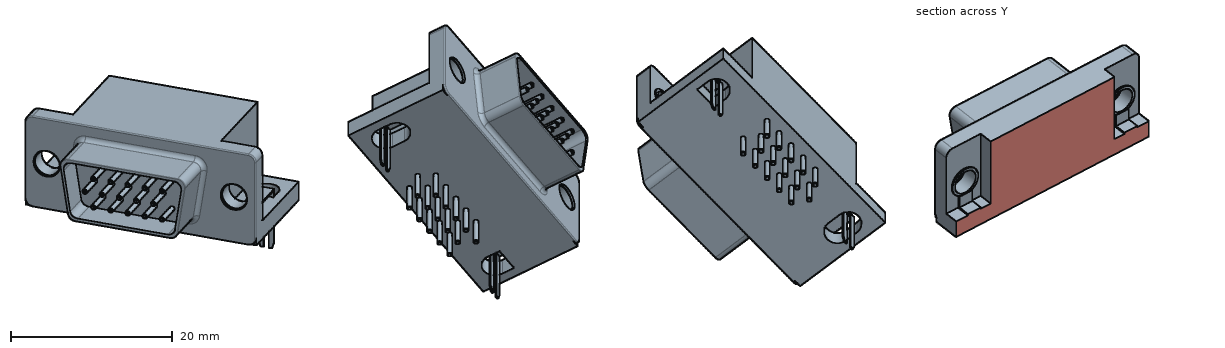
import cadquery as cq
import math

TOTAL_WIDTH = 30.8
TOTAL_DEPTH = 19.99
TOTAL_HEIGHT = 17.9
HOUSING_HEIGHT = 12.5
MID_HEIGHT = HOUSING_HEIGHT / 2

PLATE_THICKNESS = 0.3
PLATE_EDGE_ROUND = 0.15
FLANGE_BACK = 2.3
CORNER_RADIUS = 1.0
MOUNT_OFFSET = 12.5
MOUNT_HOLE_DIAMETER = 3.3
PLATE_HOLE_DIAMETER = 3.5

BODY_WIDTH = 19.8
LEDGE_HEIGHT = 2.55
SHELL_LENGTH = 5.79
BODY_BACK = TOTAL_DEPTH - SHELL_LENGTH

SHELL_HEIGHT = 8.37
SHELL_WIDTH = 16.62
SHELL_RADIUS = 1.0
SHELL_SLANT = 8.8
SHELL_WALL = 0.46
SHELL_FLARE = 0.6
SHELL_MOUTH_ROUND = 0.05
CAVITY_FLOOR = -2.15

PIN_DIAMETER = 0.64
PIN_PITCH = 2.29
ROW_PITCH = 1.94
PINS_PER_ROW = 5
CONTACT_ROWS = (-1, 0, 1)
ROW_STAGGER = PIN_PITCH / 4
PIN_CHAMFER = 0.15
PIN_TIP = -5.67
TAIL_LENGTH = 3.85
TAIL_CHAMFER = 0.1
MIDDLE_TAIL_Y = BODY_BACK - 3.61

SLOT_WIDTH = 3.3
SLOT_ARC_Y = BODY_BACK - 3.58
SLOT_STRAIGHT = 1.75

WASHER_DIAMETER = 4.1
SHEET_THICKNESS = 0.2
STRAP_WIDTH = 2.05
STRAP_BACK = BODY_BACK - 3.43
UPRIGHT_THICKNESS = 0.3
PRONG_GAP = 0.7
PRONG_GAP_TOP = 2.2
PRONG_TAPER_LENGTH = 0.8
PRONG_TAPER_WIDTH = 0.26
PRONG_BOTTOM = HOUSING_HEIGHT - TOTAL_HEIGHT

SIDES = (-1, 1)


def box(x_range, y_range, z_range):
    """Axis-aligned box given by its limits on each axis."""
    size = [high - low for low, high in (x_range, y_range, z_range)]
    corner = (x_range[0], y_range[0], z_range[0])
    return cq.Workplane("XY").box(*size, centered=False).translate(corner)


def cylinder_along_y(diameter, x, z, y_start, y_end):
    """Cylinder parallel to Y, centred at the given X and Z."""
    plane = cq.Workplane("XZ", origin=(x, y_start, z))
    return plane.circle(diameter / 2).extrude(y_start - y_end)


def make_housing():
    """Plastic body with a low ledge on each side and a full-width flange."""
    half_width = TOTAL_WIDTH / 2
    half_body = BODY_WIDTH / 2
    body = box((-half_body, half_body), (PLATE_THICKNESS, BODY_BACK), (0, HOUSING_HEIGHT))
    ledges = box((-half_width, half_width), (PLATE_THICKNESS, BODY_BACK), (0, LEDGE_HEIGHT))
    flange = box((-half_width, half_width), (PLATE_THICKNESS, FLANGE_BACK), (0, HOUSING_HEIGHT))
    flange = flange.edges("|Y and >Z").fillet(CORNER_RADIUS)
    return body.union(ledges).union(flange)


def make_face_plate():
    """Metal plate with four rounded corners and a softened front rim."""
    half_width = TOTAL_WIDTH / 2
    plate = box((-half_width, half_width), (0, PLATE_THICKNESS), (0, HOUSING_HEIGHT))
    return plate.edges("|Y").fillet(CORNER_RADIUS).faces("<Y").edges().fillet(PLATE_EDGE_ROUND)


def d_prism(inset, y_start, y_end):
    """Prism with the rounded trapezoid section of the shell, shrunk by the inset."""
    slant = math.radians(SHELL_SLANT)
    half_height = SHELL_HEIGHT / 2 - inset
    arc_centre_x = SHELL_WIDTH / 2 - SHELL_RADIUS - inset
    half_top = arc_centre_x + SHELL_RADIUS / math.tan(math.pi / 4 - slant / 2)
    half_bottom = half_top - 2 * half_height * math.tan(slant)
    outline = [
        (-half_top, half_height),
        (half_top, half_height),
        (half_bottom, -half_height),
        (-half_bottom, -half_height),
    ]
    plane = cq.Workplane("XZ", origin=(0, y_start, MID_HEIGHT))
    prism = plane.polyline(outline).close().extrude(y_start - y_end)
    return prism.edges("|Y").fillet(SHELL_RADIUS)


def add_shell(plate):
    """Join the shell to the plate with a flared root, then hollow it out."""
    shell = d_prism(0, PLATE_THICKNESS, -SHELL_LENGTH)
    shell = shell.faces("<Y").edges().fillet(SHELL_MOUTH_ROUND)
    plate = plate.union(shell)
    reach_x = SHELL_WIDTH / 2 + SHELL_FLARE
    reach_z = SHELL_HEIGHT / 2 + SHELL_FLARE
    shell_root = cq.selectors.BoxSelector(
        (-reach_x, -PLATE_EDGE_ROUND / 2, MID_HEIGHT - reach_z),
        (reach_x, PLATE_EDGE_ROUND / 2, MID_HEIGHT + reach_z),
    )
    plate = plate.edges(shell_root).fillet(SHELL_FLARE)
    return plate.cut(d_prism(SHELL_WALL, CAVITY_FLOOR, -SHELL_LENGTH))


def cut_mount_holes(part):
    """Screw holes through the flange, slightly wider in the metal plate."""
    for side in SIDES:
        x = side * MOUNT_OFFSET
        part = part.cut(cylinder_along_y(MOUNT_HOLE_DIAMETER, x, MID_HEIGHT, 0, FLANGE_BACK))
        part = part.cut(cylinder_along_y(PLATE_HOLE_DIAMETER, x, MID_HEIGHT, 0, PLATE_THICKNESS))
    return part


def cut_ledge_slots(part):
    """The left slot is round at both ends; the right one has a flat front end."""
    radius = SLOT_WIDTH / 2
    slot_front = SLOT_ARC_Y - SLOT_STRAIGHT
    for side in SIDES:
        x = side * MOUNT_OFFSET
        round_ends = [SLOT_ARC_Y]
        if side < 0:
            round_ends.append(slot_front)
        part = part.cut(box((x - radius, x + radius), (slot_front, SLOT_ARC_Y), (0, LEDGE_HEIGHT)))
        for y in round_ends:
            part = part.cut(cq.Workplane("XY").center(x, y).circle(radius).extrude(LEDGE_HEIGHT))
    return part


def make_contacts():
    """Pins inside the shell and the matching tails under the body."""
    contacts = []
    for row in CONTACT_ROWS:
        stagger = ROW_STAGGER if row else -ROW_STAGGER
        for column in range(PINS_PER_ROW):
            x = (column - (PINS_PER_ROW - 1) / 2) * PIN_PITCH + stagger
            z = MID_HEIGHT + row * ROW_PITCH
            y = MIDDLE_TAIL_Y + row * ROW_PITCH
            pin = cylinder_along_y(PIN_DIAMETER, x, z, FLANGE_BACK, PIN_TIP)
            pin = pin.faces("<Y").chamfer(PIN_CHAMFER)
            tail = cq.Workplane("XY", origin=(x, y, LEDGE_HEIGHT)).circle(PIN_DIAMETER / 2)
            tail = tail.extrude(-LEDGE_HEIGHT - TAIL_LENGTH).faces("<Z").chamfer(TAIL_CHAMFER)
            contacts += [pin, tail]
    return contacts


def make_board_lock(x):
    """Washer behind the flange, strap along the ledge and a forked leg through the slot."""
    half_strap = STRAP_WIDTH / 2
    x_range = (x - half_strap, x + half_strap)
    strap_top = LEDGE_HEIGHT + SHEET_THICKNESS
    washer_back = FLANGE_BACK + SHEET_THICKNESS
    upright_back = FLANGE_BACK + UPRIGHT_THICKNESS
    washer_reach = math.sqrt((WASHER_DIAMETER / 2) ** 2 - half_strap ** 2)

    washer = cylinder_along_y(WASHER_DIAMETER, x, MID_HEIGHT, FLANGE_BACK, washer_back)
    upright = box(x_range, (FLANGE_BACK, upright_back), (LEDGE_HEIGHT, MID_HEIGHT - washer_reach))
    strap = box(x_range, (FLANGE_BACK, STRAP_BACK), (LEDGE_HEIGHT, strap_top))
    leg = box(x_range, (STRAP_BACK - SHEET_THICKNESS, STRAP_BACK), (PRONG_BOTTOM, strap_top))
    gap = box(
        (x - PRONG_GAP / 2, x + PRONG_GAP / 2),
        (STRAP_BACK - SHEET_THICKNESS, STRAP_BACK),
        (PRONG_BOTTOM, PRONG_GAP_TOP),
    )
    for side in SIDES:
        edge = x + side * half_strap
        taper = [
            (edge, PRONG_BOTTOM),
            (edge - side * PRONG_TAPER_WIDTH, PRONG_BOTTOM),
            (edge, PRONG_BOTTOM + PRONG_TAPER_LENGTH),
        ]
        plane = cq.Workplane("XZ", origin=(0, STRAP_BACK, 0))
        leg = leg.cut(plane.polyline(taper).close().extrude(SHEET_THICKNESS))
    lock = washer.union(upright).union(strap).union(leg.cut(gap))
    return lock.cut(cylinder_along_y(MOUNT_HOLE_DIAMETER, x, MID_HEIGHT, FLANGE_BACK, upright_back))


part = make_housing().union(add_shell(make_face_plate()))
part = cut_ledge_slots(cut_mount_holes(part))
for contact in make_contacts():
    part = part.union(contact)
for side in SIDES:
    part = part.union(make_board_lock(side * MOUNT_OFFSET))

result = part